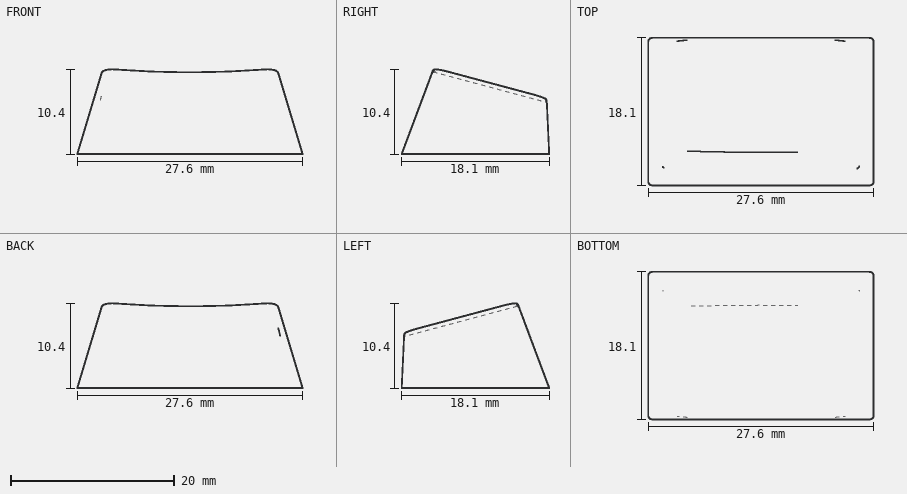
import cadquery as cq
import math

BASE_LENGTH = 27.62
BASE_WIDTH = 18.1
BASE_CORNER_RADIUS = 0.5

TOP_LENGTH = 21.55
TOP_BACK_Y = 8.73
TOP_FRONT_Y = -5.08
TOP_CORNER_RADIUS = 1.93
TOP_TILT = 15.0
TOP_HEIGHT_AT_ORIGIN = 9.23

DISH_DEPTH = 0.52
RIM_FILLET = 0.33

tilt = math.radians(TOP_TILT)
top_center_y = (TOP_BACK_Y + TOP_FRONT_Y) / 2
top_center_z = TOP_HEIGHT_AT_ORIGIN - top_center_y * math.tan(tilt)
top_width = (TOP_BACK_Y - TOP_FRONT_Y) / math.cos(tilt)
top_plane = cq.Plane(
    origin=(0, top_center_y, top_center_z),
    xDir=(1, 0, 0),
    normal=(0, math.sin(tilt), math.cos(tilt)),
)


def rounded_outline(plane, length, width, radius):
    """Closed wire of a rounded rectangle centred on the plane."""
    x = length / 2
    y = width / 2
    inset = radius * (1 - math.sqrt(0.5))
    return (
        cq.Workplane(plane)
        .moveTo(radius - x, -y)
        .lineTo(x - radius, -y)
        .threePointArc((x - inset, inset - y), (x, radius - y))
        .lineTo(x, y - radius)
        .threePointArc((x - inset, y - inset), (x - radius, y))
        .lineTo(radius - x, y)
        .threePointArc((inset - x, y - inset), (-x, y - radius))
        .lineTo(-x, radius - y)
        .threePointArc((inset - x, inset - y), (radius - x, -y))
        .close()
        .val()
    )


def tapered_body():
    """Straight-sided body between the base and the tilted top outline."""
    base = rounded_outline(cq.Plane.XY(), BASE_LENGTH, BASE_WIDTH, BASE_CORNER_RADIUS)
    top = rounded_outline(top_plane, TOP_LENGTH, top_width, TOP_CORNER_RADIUS)
    return cq.Workplane(obj=cq.Solid.makeLoft([base, top], True))


def dish_cutter():
    """Cylinder along the slope that meets the left and right sides of the top outline."""
    half_chord = TOP_LENGTH / 2
    radius = (half_chord**2 + DISH_DEPTH**2) / (2 * DISH_DEPTH)
    axis_plane = cq.Plane(
        origin=top_plane.toWorldCoords((0, 0, radius - DISH_DEPTH)),
        xDir=(1, 0, 0),
        normal=top_plane.yDir,
    )
    return cq.Workplane(axis_plane).circle(radius).extrude(top_width, both=True)


dished = tapered_body().cut(dish_cutter())
result = dished.faces(">Z").edges().fillet(RIM_FILLET)